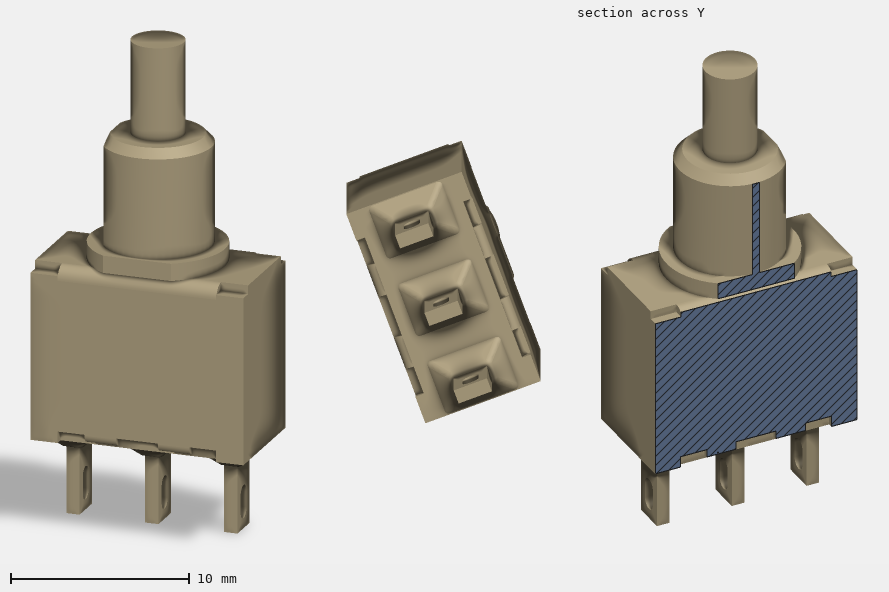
import cadquery as cq

total_height = 28.35
body_length = 12.7
body_width = 6.9
body_height = 10.4

terminal_pitch = 4.7
terminal_thickness = 0.8
terminal_width = 1.98
terminal_length = 4.0
terminal_slot_width = 0.95
terminal_slot_length = 1.95
terminal_slot_end_gap = 0.6
boss_height = 1.0
boss_margin = 0.2
boss_edge_radius = 0.37

corner_step_length = 1.62
top_strip_radius = 0.8
corner_step_depth = 0.5
bottom_notch_height = 0.68
bottom_notch_depth = 0.5
bottom_lip_gap = 0.15
bottom_lip_radius = 0.48
bottom_lip_length = 1.87
bottom_lip_offset = 2.18

flange_diameter = 8.0
flange_height = 1.02
bushing_diameter = 6.38
bushing_height = 6.43
bushing_chamfer = 0.5
bushing_flat_offset = 2.55
plunger_diameter = 3.1

boss_tip_z = terminal_length
body_bottom_z = boss_tip_z + boss_height
body_top_z = body_bottom_z + body_height
flange_top_z = body_top_z + flange_height
bushing_top_z = flange_top_z + bushing_height
plunger_length = total_height - bushing_top_z

half_width = body_width / 2
strip_length = body_length - 2 * corner_step_length


def block(length, width, height, center_x, center_y, bottom_z):
    """Box centred at (center_x, center_y) that stands on bottom_z."""
    return (
        cq.Workplane("XY")
        .box(length, width, height, centered=(True, True, False))
        .translate((center_x, center_y, bottom_z))
    )


def cylinder(diameter, height, bottom_z):
    return cq.Workplane("XY", origin=(0, 0, bottom_z)).circle(diameter / 2).extrude(height)


def make_body():
    core_width = body_width - 2 * top_strip_radius
    core = block(body_length, core_width, body_height, 0, 0, body_bottom_z)
    stepped_block = block(
        body_length, body_width, body_height - corner_step_depth, 0, 0, body_bottom_z,
    )

    strip_gap = block(strip_length, body_width, body_height, 0, 0, body_bottom_z)
    strip = strip_gap.edges("|X and >Z").fillet(top_strip_radius)
    body = stepped_block.cut(strip_gap).union(core).union(strip)

    notch_center_y = half_width - bottom_notch_depth / 2
    for side_y in (-1, 1):
        body = body.cut(block(
            strip_length, bottom_notch_depth, bottom_notch_height,
            0, side_y * notch_center_y, body_bottom_z,
        ))
    return body


def make_bottom_lip(center_x, side_y):
    """Short lip in the bottom notch, rounded on its outer lower edge."""
    lip = block(
        bottom_lip_length, bottom_notch_depth, bottom_notch_height - bottom_lip_gap,
        center_x, side_y * (half_width - bottom_notch_depth / 2), body_bottom_z + bottom_lip_gap,
    )
    outer_face = ">Y" if side_y > 0 else "<Y"
    return lip.faces(outer_face).edges("<Z").fillet(bottom_lip_radius)


def make_terminal(center_x):
    """Flat slotted terminal hanging from a boss with 45 degree sides."""
    tip_length = terminal_thickness + 2 * boss_margin
    tip_width = terminal_width + 2 * boss_margin
    boss = (
        cq.Workplane("XY", origin=(center_x, 0, boss_tip_z))
        .rect(tip_length, tip_width)
        .workplane(offset=boss_height)
        .rect(tip_length + 2 * boss_height, tip_width + 2 * boss_height)
        .loft(ruled=True)
    )
    boss = boss.edges("not >Z").fillet(boss_edge_radius)

    blade = block(terminal_thickness, terminal_width, body_bottom_z, center_x, 0, 0)
    slot_center_z = terminal_slot_end_gap + terminal_slot_length / 2
    slot = (
        cq.Workplane("YZ", origin=(center_x, 0, slot_center_z))
        .slot2D(terminal_slot_length, terminal_slot_width, 90)
        .extrude(terminal_thickness, both=True)
    )
    return boss.union(blade.cut(slot))


def make_flange():
    """Round flange trimmed flush with the long sides of the body."""
    disc = cylinder(flange_diameter, flange_height, body_top_z)
    return disc.intersect(block(flange_diameter, body_width, flange_height, 0, 0, body_top_z))


def make_bushing():
    """Chamfered bushing with an anti-rotation flat on its -X side."""
    bushing = cylinder(bushing_diameter, bushing_height, flange_top_z)
    bushing = bushing.faces(">Z").chamfer(bushing_chamfer)
    flat_cutter = block(
        bushing_diameter, bushing_diameter, bushing_height,
        -bushing_flat_offset - bushing_diameter / 2, 0, flange_top_z,
    )
    return bushing.cut(flat_cutter)


result = make_body()
for side_y in (-1, 1):
    for side_x in (-1, 1):
        result = result.union(make_bottom_lip(side_x * bottom_lip_offset, side_y))
for position in (-1, 0, 1):
    result = result.union(make_terminal(position * terminal_pitch))
result = result.union(make_flange())
result = result.union(make_bushing())
result = result.union(cylinder(plunger_diameter, plunger_length, bushing_top_z))